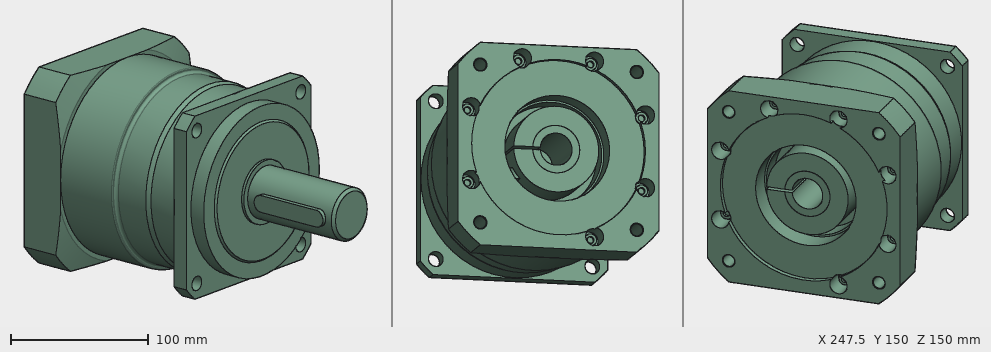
import cadquery as cq
import math

overall_length = 247.5

flange_side = 150.0
flange_corner_radius = 95.0
flange_corner_end = 30.0
flange_cone_end = 34.6
flange_cone_end_radius = 78.5

body_radius = flange_side / 2
body_end = 83.7
body_edge_round = 0.7
ring_radius = 71.0
ring_root_fillet = 2.5
ring_end = 112.0
nose_radius = 69.5
nose_start = 115.8

output_side = 140.0
output_corner_radius = 92.5
output_start = 138.0
output_end = 150.0
output_hole_radius = 5.5

pilot_radius = 65.0
pilot_end = 162.0
cover_radius = 53.2
cover_end = 163.5
collar_radius = 24.3
collar_end = 165.8
shaft_radius = 20.0
shaft_chamfer = 2.2

key_start = 174.5
key_length = 65.3
key_width = 12.9
key_top = 23.0
key_bottom = 12.4

bolt_offset = 58.5
motor_hole_radius = 4.5
motor_hole_chamfer = 0.5
motor_hole_depth = flange_corner_end

recess_radius = 64.8
recess_depth = 4.2
cavity_mouth_radius = 39.0
cavity_radius = 37.5
cavity_lip_end = 22.3
cavity_depth = 39.5

hub_radius = 31.7
hub_face = 7.2
bushing_radius = 17.5
bushing_recess = 0.2
bore_radius = 12.0
bore_depth = 69.3
slit_width = 2.0

clamp_head_radius = 5.0
clamp_head_edge = 30.2
clamp_head_bottom = -20.5
clamp_head_height = 8.5
clamp_head_x = 24.8

screw_places = 8
empty_place = 7
screw_circle_radius = 70.3
screw_hole_radius = 6.7
screw_hole_depth = 17.3
screw_head_radius = 4.5
screw_head_height = 5.0
socket_radius = 2.5
socket_depth = 2.5


def cylinder(start, end, radius, y=0.0, z=0.0):
    """Cylinder along X between two X positions, centred at (y, z)."""
    return cq.Workplane("YZ", origin=(start, y, z)).circle(radius).extrude(end - start)


def square_plate(start, end, side, corner_radius):
    """Square plate across X whose corners are turned to corner_radius."""
    square = cq.Workplane("YZ", origin=(start, 0, 0)).rect(side, side).extrude(end - start)
    return square.intersect(cylinder(start, end, corner_radius))


def diagonal_positions():
    """(y, z) centres of the four corner holes."""
    return [(y, z) for y in (-bolt_offset, bolt_offset) for z in (-bolt_offset, bolt_offset)]


def screw_positions():
    """(y, z) centres of the occupied screw places."""
    pitch = 2 * math.pi / screw_places
    angles = [(place - 0.5) * pitch for place in range(screw_places) if place != empty_place]
    return [(screw_circle_radius * math.cos(a), screw_circle_radius * math.sin(a)) for a in angles]


def motor_flange():
    """Plate with turned corners and a conical back."""
    plate = square_plate(0, flange_cone_end, flange_side, flange_corner_radius)
    back = (
        cq.Workplane("XY")
        .lineTo(0, flange_corner_radius)
        .lineTo(flange_corner_end, flange_corner_radius)
        .lineTo(flange_cone_end, flange_cone_end_radius)
        .lineTo(flange_cone_end, 0)
        .close()
        .revolve(360, (0, 0, 0), (1, 0, 0))
    )
    return plate.intersect(back)


def turned_housing():
    """Body, ring, nose, pilot, cover, collar and shaft as one revolved outline."""
    fillet_top = ring_radius + ring_root_fillet
    outline = (
        cq.Workplane("XY")
        .moveTo(flange_corner_end, 0)
        .lineTo(flange_corner_end, body_radius)
        .lineTo(body_end - body_edge_round, body_radius)
        .radiusArc((body_end, body_radius - body_edge_round), body_edge_round)
        .lineTo(body_end, fillet_top)
        .radiusArc((body_end + ring_root_fillet, ring_radius), -ring_root_fillet)
        .lineTo(ring_end, ring_radius)
        .lineTo(nose_start, nose_radius)
        .lineTo(output_end, nose_radius)
        .lineTo(output_end, pilot_radius)
        .lineTo(pilot_end, pilot_radius)
        .lineTo(pilot_end, cover_radius)
        .lineTo(cover_end, cover_radius - (cover_end - pilot_end))
        .lineTo(cover_end, collar_radius)
        .lineTo(collar_end, collar_radius)
        .lineTo(collar_end, shaft_radius)
        .lineTo(overall_length - shaft_chamfer, shaft_radius)
        .lineTo(overall_length, shaft_radius - shaft_chamfer)
        .lineTo(overall_length, 0)
        .close()
    )
    return outline.revolve(360, (0, 0, 0), (1, 0, 0))


def output_flange():
    """Square plate with four through holes."""
    plate = square_plate(output_start, output_end, output_side, output_corner_radius)
    for y, z in diagonal_positions():
        plate = plate.cut(cylinder(output_start, output_end, output_hole_radius, y, z))
    return plate


def shaft_key():
    """Round-ended key, rooted inside the shaft."""
    return (
        cq.Workplane("XZ", origin=(key_start + key_length / 2, -key_bottom, 0))
        .slot2D(key_length, key_width)
        .extrude(key_top - key_bottom)
    )


def motor_hole(y, z):
    """Blind hole with a small chamfer at its mouth."""
    mouth_radius = motor_hole_radius + motor_hole_chamfer
    mouth = cq.Solid.makeCone(
        mouth_radius, motor_hole_radius, motor_hole_chamfer, cq.Vector(0, y, z), cq.Vector(1, 0, 0)
    )
    return cylinder(0, motor_hole_depth, motor_hole_radius, y, z).union(cq.Workplane(mouth))


def screw_head(y, z):
    """Head with a round socket, seated on the floor of its counterbore."""
    top = screw_hole_depth - screw_head_height
    head = cylinder(top, screw_hole_depth, screw_head_radius, y, z)
    return head.cut(cylinder(top, top + socket_depth, socket_radius, y, z))


def clamping_hub():
    """Slit hub with its clamp screw head and a slightly sunk bushing face."""
    hub = cylinder(hub_face, cavity_depth, hub_radius)
    clamp_head = (
        cq.Workplane("XY", origin=(clamp_head_x, clamp_head_edge - clamp_head_radius, clamp_head_bottom))
        .circle(clamp_head_radius)
        .extrude(clamp_head_height)
    )
    slit = cq.Workplane("XY", origin=(hub_face, 0, 0)).box(
        cavity_depth - hub_face, hub_radius, slit_width, centered=(False, False, True)
    )
    hub = hub.union(clamp_head).cut(slit)
    return hub.cut(cylinder(hub_face, hub_face + bushing_recess, bushing_radius))


result = motor_flange().union(turned_housing()).union(output_flange()).union(shaft_key())

result = result.cut(cylinder(0, recess_depth, recess_radius))
result = result.cut(cylinder(0, cavity_lip_end, cavity_mouth_radius))
result = result.cut(cylinder(0, cavity_depth, cavity_radius))

for y, z in diagonal_positions():
    result = result.cut(motor_hole(y, z))
for y, z in screw_positions():
    result = result.cut(cylinder(0, screw_hole_depth, screw_hole_radius, y, z))
    result = result.union(screw_head(y, z))

result = result.union(clamping_hub())
result = result.cut(cylinder(hub_face, bore_depth, bore_radius))